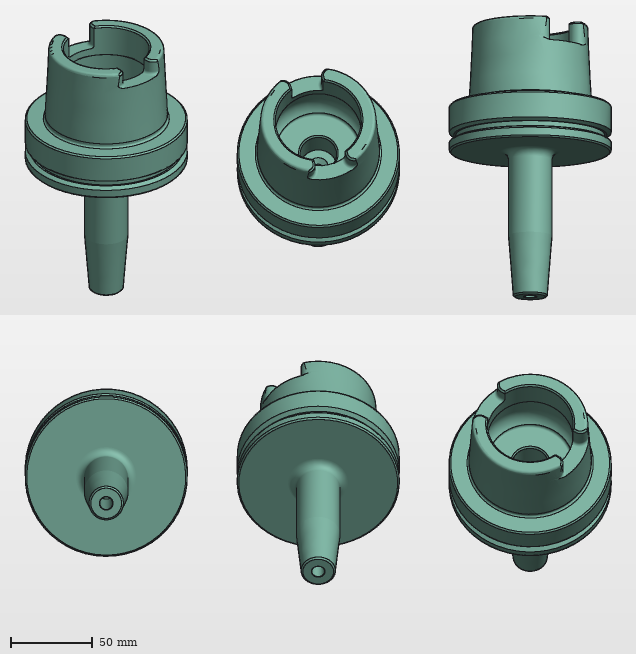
import cadquery as cq
import math


TAPER_HEIGHT = 50.0
TAPER_GAUGE_RADIUS = 75.0 / 2
TAPER_GAUGE_Z = 10.0
TAPER_BASE_Z = 2.75
TAPER_RADIUS_PER_LENGTH = 1 / 20
TAPER_TOP_FILLET = 2.0

NECK_RADIUS = 75.36 / 2
NECK_TOP_Z = 2.1
NECK_BOTTOM_Z = 1.0
RELIEF_FILLET = 1.2
RELIEF_OUTER_RADIUS = 39.5

FLANGE_RADIUS = 50.0
FLANGE_THICKNESS = 29.0
FLANGE_CHAMFER = 1.0
GROOVE_RADIUS = 92.0 / 2
GROOVE_CENTRE_Z = -20.0
GROOVE_HALF_WIDTH = 1.65
GROOVE_MOUTH_HALF_WIDTH = 3.25
GROOVE_FLANK_ANGLE = 30.0

NOSE_LENGTH = 120.0
NOSE_RADIUS = 27.0 / 2
NOSE_TIP_RADIUS = 21.0 / 2
NOSE_CONE_ANGLE = 4.5
NOSE_ROOT_FILLET = 5.0
NOSE_TIP_CHAMFER = 1.0

BORE_RADIUS = 53.0 / 2
BORE_MOUTH_CHAMFER = 1.0
BORE_LIP_Z = 30.0
RECESS_RADIUS = 63.0 / 2
RECESS_CONE_ANGLE = 30.0
RECESS_ARC_RADIUS = 10.0
RECESS_BOTTOM_Z = 9.7
FLOOR_FILLET = 1.5
FLOOR_Z = -1.0

SOCKET_MOUTH_RADIUS = 24.5 / 2
SOCKET_RADIUS = 22.5 / 2
SOCKET_DEPTH = 20.0
COUNTERSINK_RADIUS = 12.0 / 2
COUNTERSINK_SLOPE_ANGLE = 30.0
COOLANT_HOLE_RADIUS = 5.1 / 2
TOOL_BORE_RADIUS = 7.94 / 2
TOOL_BORE_MOUTH_RADIUS = 8.43 / 2
TOOL_BORE_DEPTH = 36.0

SLOT_WIDTH = 20.0
LUG_END_X = 32.2
LUG_END_RADIUS = 5.0
LUG_RIM_CHAMFER = 1.2
SLOT_FLOOR_FILLET = 2.0
LEFT_SLOT_DEPTH = 15.0
RIGHT_SLOT_DEPTH = 10.0
CUTTER_REACH_X = 60.0
CUTTER_RUN_OUT = 40.0
CUTTER_OVERRUN = 5.0


def tangent(angle):
    return math.tan(math.radians(angle))


def revolve(profile):
    """Turn a closed radius/height profile about the Z axis."""
    return profile.close().revolve(360, (0, 0, 0), (0, 1, 0))


def circle_point(centre, radius, angle):
    """Point of a circle at an angle in degrees from its first axis."""
    turn = math.radians(angle)
    return (centre[0] + radius * math.cos(turn), centre[1] + radius * math.sin(turn))


def taper_radius(z):
    return TAPER_GAUGE_RADIUS - (z - TAPER_GAUGE_Z) * TAPER_RADIUS_PER_LENGTH


def outer_body():
    taper_angle = math.degrees(math.atan(TAPER_RADIUS_PER_LENGTH))
    rim_z = TAPER_HEIGHT - TAPER_TOP_FILLET
    rim_inset = TAPER_TOP_FILLET / math.cos(math.radians(taper_angle))
    rim_centre = (taper_radius(rim_z) - rim_inset, rim_z)
    relief_centre = (NECK_RADIUS + RELIEF_FILLET, NECK_BOTTOM_Z)
    flank_run = (GROOVE_MOUTH_HALF_WIDTH - GROOVE_HALF_WIDTH) / tangent(GROOVE_FLANK_ANGLE)
    groove_lip_radius = FLANGE_RADIUS - flank_run
    root_centre = (NOSE_RADIUS + NOSE_ROOT_FILLET, -FLANGE_THICKNESS - NOSE_ROOT_FILLET)
    cone_height = (NOSE_RADIUS - NOSE_TIP_RADIUS) / tangent(NOSE_CONE_ANGLE)
    chamfer_shift = NOSE_TIP_CHAMFER * tangent(NOSE_CONE_ANGLE)
    profile = (
        cq.Workplane("XZ")
        .moveTo(0, TAPER_HEIGHT)
        .lineTo(rim_centre[0], TAPER_HEIGHT)
        .threePointArc(
            circle_point(rim_centre, TAPER_TOP_FILLET, 45),
            circle_point(rim_centre, TAPER_TOP_FILLET, taper_angle),
        )
        .lineTo(taper_radius(TAPER_BASE_Z), TAPER_BASE_Z)
        .lineTo(NECK_RADIUS, NECK_TOP_Z)
        .lineTo(NECK_RADIUS, NECK_BOTTOM_Z)
        .threePointArc(
            circle_point(relief_centre, RELIEF_FILLET, 225),
            (relief_centre[0], NECK_BOTTOM_Z - RELIEF_FILLET),
        )
        .lineTo(RELIEF_OUTER_RADIUS, 0)
        .lineTo(FLANGE_RADIUS - FLANGE_CHAMFER, 0)
        .lineTo(FLANGE_RADIUS, -FLANGE_CHAMFER)
        .lineTo(FLANGE_RADIUS, GROOVE_CENTRE_Z + GROOVE_MOUTH_HALF_WIDTH)
        .lineTo(groove_lip_radius, GROOVE_CENTRE_Z + GROOVE_HALF_WIDTH)
        .lineTo(GROOVE_RADIUS, GROOVE_CENTRE_Z + GROOVE_HALF_WIDTH)
        .lineTo(GROOVE_RADIUS, GROOVE_CENTRE_Z - GROOVE_HALF_WIDTH)
        .lineTo(groove_lip_radius, GROOVE_CENTRE_Z - GROOVE_HALF_WIDTH)
        .lineTo(FLANGE_RADIUS, GROOVE_CENTRE_Z - GROOVE_MOUTH_HALF_WIDTH)
        .lineTo(FLANGE_RADIUS, FLANGE_CHAMFER - FLANGE_THICKNESS)
        .lineTo(FLANGE_RADIUS - FLANGE_CHAMFER, -FLANGE_THICKNESS)
        .lineTo(root_centre[0], -FLANGE_THICKNESS)
        .threePointArc(
            circle_point(root_centre, NOSE_ROOT_FILLET, 135),
            (NOSE_RADIUS, root_centre[1]),
        )
        .lineTo(NOSE_RADIUS, cone_height - NOSE_LENGTH)
        .lineTo(NOSE_TIP_RADIUS + chamfer_shift, NOSE_TIP_CHAMFER - NOSE_LENGTH)
        .lineTo(NOSE_TIP_RADIUS - NOSE_TIP_CHAMFER, -NOSE_LENGTH)
        .lineTo(0, -NOSE_LENGTH)
    )
    return revolve(profile)


def clamping_bore():
    recess_top_z = BORE_LIP_Z - (RECESS_RADIUS - BORE_RADIUS) * tangent(RECESS_CONE_ANGLE)
    recess_centre = (RECESS_RADIUS - RECESS_ARC_RADIUS, RECESS_BOTTOM_Z)
    recess_arc_angle = math.degrees(math.acos((BORE_RADIUS - recess_centre[0]) / RECESS_ARC_RADIUS))
    floor_centre = (BORE_RADIUS - FLOOR_FILLET, FLOOR_Z + FLOOR_FILLET)
    profile = (
        cq.Workplane("XZ")
        .moveTo(0, TAPER_HEIGHT)
        .lineTo(BORE_RADIUS, TAPER_HEIGHT)
        .lineTo(BORE_RADIUS, BORE_LIP_Z)
        .lineTo(RECESS_RADIUS, recess_top_z)
        .lineTo(RECESS_RADIUS, RECESS_BOTTOM_Z)
        .threePointArc(
            circle_point(recess_centre, RECESS_ARC_RADIUS, -recess_arc_angle / 2),
            circle_point(recess_centre, RECESS_ARC_RADIUS, -recess_arc_angle),
        )
        .lineTo(BORE_RADIUS, floor_centre[1])
        .threePointArc(
            circle_point(floor_centre, FLOOR_FILLET, -45),
            (floor_centre[0], FLOOR_Z),
        )
        .lineTo(0, FLOOR_Z)
    )
    return revolve(profile)


def bore_mouth_chamfer():
    profile = (
        cq.Workplane("XZ")
        .moveTo(0, TAPER_HEIGHT)
        .lineTo(BORE_RADIUS + BORE_MOUTH_CHAMFER, TAPER_HEIGHT)
        .lineTo(BORE_RADIUS, TAPER_HEIGHT - BORE_MOUTH_CHAMFER)
        .lineTo(0, TAPER_HEIGHT - BORE_MOUTH_CHAMFER)
    )
    return revolve(profile)


def axial_holes():
    socket_chamfer = SOCKET_MOUTH_RADIUS - SOCKET_RADIUS
    socket_floor_z = FLOOR_Z - SOCKET_DEPTH
    countersink_depth = (COUNTERSINK_RADIUS - COOLANT_HOLE_RADIUS) * tangent(COUNTERSINK_SLOPE_ANGLE)
    tool_chamfer = TOOL_BORE_MOUTH_RADIUS - TOOL_BORE_RADIUS
    tool_bore_top_z = TOOL_BORE_DEPTH - NOSE_LENGTH
    profile = (
        cq.Workplane("XZ")
        .moveTo(0, FLOOR_Z)
        .lineTo(SOCKET_MOUTH_RADIUS, FLOOR_Z)
        .lineTo(SOCKET_RADIUS, FLOOR_Z - socket_chamfer)
        .lineTo(SOCKET_RADIUS, socket_floor_z)
        .lineTo(COUNTERSINK_RADIUS, socket_floor_z)
        .lineTo(COOLANT_HOLE_RADIUS, socket_floor_z - countersink_depth)
        .lineTo(COOLANT_HOLE_RADIUS, tool_bore_top_z)
        .lineTo(TOOL_BORE_RADIUS, tool_bore_top_z)
        .lineTo(TOOL_BORE_RADIUS, tool_chamfer - NOSE_LENGTH)
        .lineTo(TOOL_BORE_MOUTH_RADIUS, -NOSE_LENGTH)
        .lineTo(0, -NOSE_LENGTH)
    )
    return revolve(profile)


def drive_slot(side, depth):
    """Cutter for one drive slot; side is -1 for the -X slot and +1 for the +X slot.

    It runs between the two lugs, follows their round ends, and leaves each lug end along a
    tangent that is square to the line from the part axis through the centre of the lug end.
    """
    half_width = SLOT_WIDTH / 2
    end_centre = (LUG_END_X - LUG_END_RADIUS, half_width + LUG_END_RADIUS)
    end_angle = math.degrees(math.atan2(end_centre[1], end_centre[0]))
    arc_end = circle_point(end_centre, LUG_END_RADIUS, end_angle)
    arc_mid = circle_point(end_centre, LUG_END_RADIUS, (end_angle - 90) / 2)
    tangent_end = (
        arc_end[0] - CUTTER_RUN_OUT * math.sin(math.radians(end_angle)),
        arc_end[1] + CUTTER_RUN_OUT * math.cos(math.radians(end_angle)),
    )
    cutter = (
        cq.Workplane("XY", origin=(0, 0, TAPER_HEIGHT - depth))
        .moveTo(0, -half_width)
        .lineTo(side * end_centre[0], -half_width)
        .threePointArc((side * arc_mid[0], -arc_mid[1]), (side * arc_end[0], -arc_end[1]))
        .lineTo(side * tangent_end[0], -tangent_end[1])
        .lineTo(side * CUTTER_REACH_X, -tangent_end[1])
        .lineTo(side * CUTTER_REACH_X, tangent_end[1])
        .lineTo(side * tangent_end[0], tangent_end[1])
        .lineTo(side * arc_end[0], arc_end[1])
        .threePointArc((side * arc_mid[0], arc_mid[1]), (side * end_centre[0], half_width))
        .lineTo(0, half_width)
        .close()
        .extrude(depth + CUTTER_OVERRUN)
    )
    return cutter.faces("<Z").edges().fillet(SLOT_FLOOR_FILLET)


def slotted_blank():
    """Plain cylinder with both drive slots and chamfered slot rims, to be met with the turned body."""
    blank = (
        cq.Workplane("XY", origin=(0, 0, -NOSE_LENGTH))
        .circle(FLANGE_RADIUS)
        .extrude(NOSE_LENGTH + TAPER_HEIGHT)
    )
    blank = blank.cut(drive_slot(-1, LEFT_SLOT_DEPTH)).cut(drive_slot(1, RIGHT_SLOT_DEPTH))
    slot_rims = blank.faces(">Z").edges().filter(
        lambda edge: edge.geomType() == "LINE" or edge.radius() < FLANGE_RADIUS / 2
    )
    return slot_rims.chamfer(LUG_RIM_CHAMFER)


turned_body = outer_body().cut(clamping_bore()).cut(axial_holes())
result = turned_body.intersect(slotted_blank()).cut(bore_mouth_chamfer())